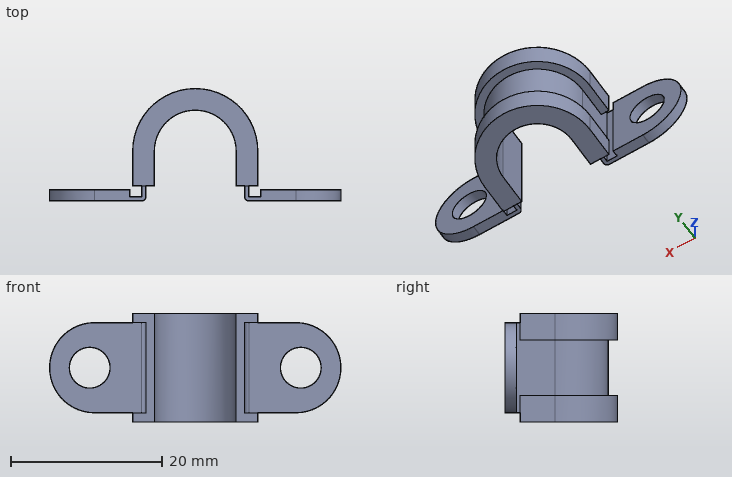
import cadquery as cq

length = 38.6
cushion_height = 14.4
cushion_outer_radius = 8.3
cushion_inner_radius = 5.4
cushion_leg = 4.6
mount_depth = 6.6

strap_outer_radius = 7.1
strap_thickness = 0.58
strap_width = 11.95
groove_width = 7.35

ear_thickness = 1.5
ear_inner_x = 8.65
ear_end_radius = strap_width / 2
ear_arc_x = length / 2 - ear_end_radius
hole_x = 13.97
hole_diameter = 5.35

mount_y = -mount_depth
strap_inner_radius = strap_outer_radius - strap_thickness


def arch(outer_radius, inner_radius, leg, height):
    """U-shaped band with straight legs, centred on Z = 0."""
    return (
        cq.Workplane("XY")
        .workplane(offset=-height / 2)
        .moveTo(-outer_radius, -leg)
        .lineTo(-outer_radius, 0)
        .threePointArc((0, outer_radius), (outer_radius, 0))
        .lineTo(outer_radius, -leg)
        .lineTo(inner_radius, -leg)
        .lineTo(inner_radius, 0)
        .threePointArc((0, inner_radius), (-inner_radius, 0))
        .lineTo(-inner_radius, -leg)
        .close()
        .extrude(height)
    )


def make_ear():
    """Right-hand ear: thin foot with a rounded outer bend, thick rounded pad and screw hole."""
    foot_top_y = mount_y + strap_thickness
    bend_end_x = strap_inner_radius + strap_thickness
    foot = (
        cq.Workplane("XY")
        .workplane(offset=-strap_width / 2)
        .moveTo(bend_end_x, mount_y)
        .lineTo(ear_arc_x, mount_y)
        .lineTo(ear_arc_x, foot_top_y)
        .lineTo(strap_inner_radius, foot_top_y)
        .radiusArc((bend_end_x, mount_y), -strap_thickness)
        .close()
        .extrude(strap_width)
    )
    pad = (
        cq.Workplane("XZ", origin=(0, mount_y, 0))
        .moveTo(ear_inner_x, -ear_end_radius)
        .lineTo(ear_arc_x, -ear_end_radius)
        .threePointArc((length / 2, 0), (ear_arc_x, ear_end_radius))
        .lineTo(ear_inner_x, ear_end_radius)
        .close()
        .extrude(-ear_thickness)
    )
    hole = (
        cq.Workplane("XZ", origin=(hole_x, mount_y, 0))
        .circle(hole_diameter / 2)
        .extrude(-ear_thickness)
    )
    return foot.union(pad).cut(hole)


cushion = arch(cushion_outer_radius, cushion_inner_radius, cushion_leg, cushion_height)
groove = arch(cushion_outer_radius, strap_outer_radius, cushion_leg, groove_width)

strap_leg = mount_depth - strap_thickness
strap = arch(strap_outer_radius, strap_inner_radius, strap_leg, strap_width)

right_ear = make_ear()
left_ear = right_ear.mirror("YZ")

result = cushion.cut(groove).union(strap).union(right_ear).union(left_ear)